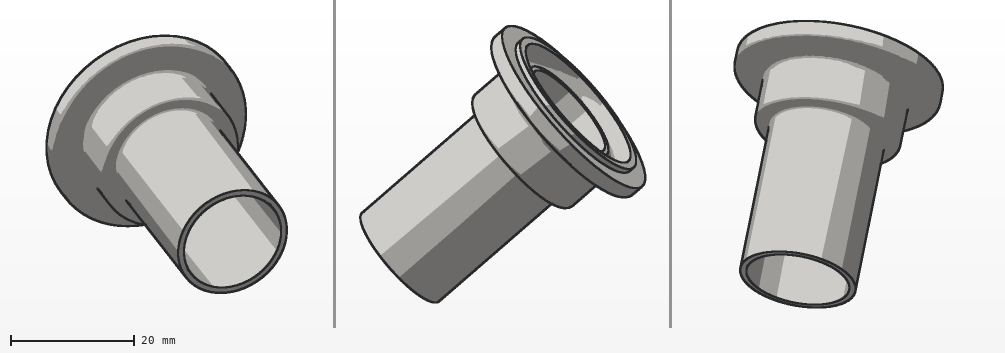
import cadquery as cq
import math

total_length = 39.5
bore_radius = 8.5
tube_radius = 9.5

flange_diameter = 34.0
flange_radius = flange_diameter / 2
raised_face_radius = 13.8
raised_face_height = 1.0
flange_rim_end = 3.65
back_cone_angle = math.radians(15)

hub_radius = 12.0
hub_end = 12.75

flange_edge_fillet = 0.7
cone_foot_fillet = 0.85
hub_edge_fillet = 0.8
tube_foot_fillet = 0.7

groove_outer_radius = 12.45
lip_radius = 9.32
lip_recess = 1.98
groove_wall_depth = 0.8

groove_width = groove_outer_radius - lip_radius
lip_offset = lip_recess - groove_wall_depth
groove_arc_radius = (groove_width**2 + lip_offset**2) / (2 * groove_width)
groove_bottom = groove_wall_depth + groove_arc_radius
groove_middle_radius = groove_outer_radius - groove_arc_radius

cone_end = flange_rim_end + (flange_radius - hub_radius) * math.tan(back_cone_angle)


def make_body():
    """Revolve the half section, with sharp outer corners."""
    section = (
        cq.Workplane("XY")
        .moveTo(lip_recess, bore_radius)
        .lineTo(lip_recess, lip_radius)
        .threePointArc((groove_bottom, groove_middle_radius), (groove_wall_depth, groove_outer_radius))
        .lineTo(0, groove_outer_radius)
        .lineTo(0, raised_face_radius)
        .lineTo(raised_face_height, raised_face_radius)
        .lineTo(raised_face_height, flange_radius)
        .lineTo(flange_rim_end, flange_radius)
        .lineTo(cone_end, hub_radius)
        .lineTo(hub_end, hub_radius)
        .lineTo(hub_end, tube_radius)
        .lineTo(total_length, tube_radius)
        .lineTo(total_length, bore_radius)
        .close()
    )
    return section.revolve(360, (0, 0, 0), (1, 0, 0))


def round_corner(body, x, radius, fillet_radius):
    """Round the circular corner at the given place along the axis."""
    tolerance = 0.05
    reach = radius + tolerance
    corner = cq.selectors.BoxSelector(
        (x - tolerance, -reach, -reach), (x + tolerance, reach, reach), boundingbox=True
    )
    return body.edges(corner).edges(cq.selectors.RadiusNthSelector(-1)).fillet(fillet_radius)


result = make_body()
rounded_corners = [
    (flange_rim_end, flange_radius, flange_edge_fillet),
    (cone_end, hub_radius, cone_foot_fillet),
    (hub_end, hub_radius, hub_edge_fillet),
    (hub_end, tube_radius, tube_foot_fillet),
]
for corner_x, corner_radius, fillet_radius in rounded_corners:
    result = round_corner(result, corner_x, corner_radius, fillet_radius)